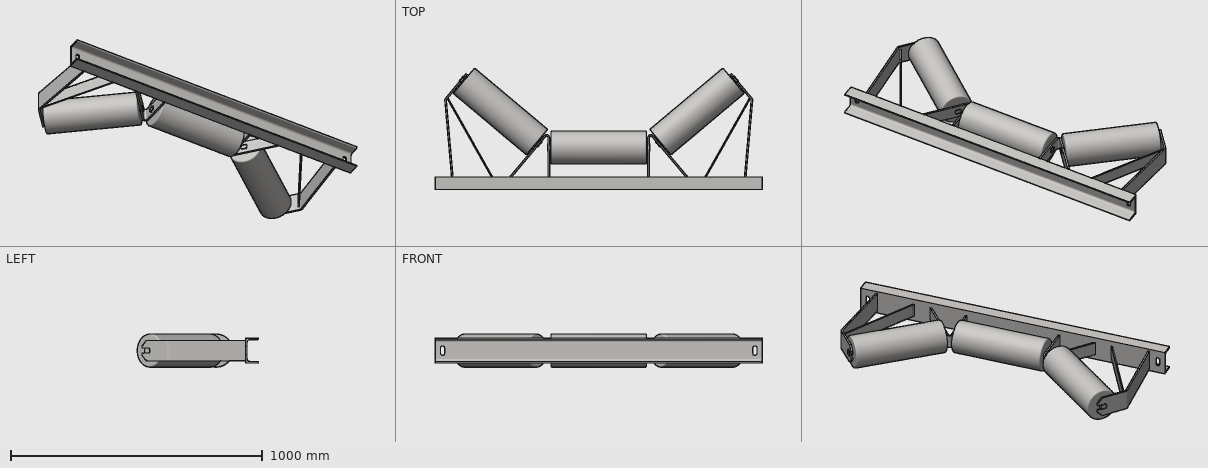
import cadquery as cq
import math

beam_length = 1300.0
beam_height = 100.0
beam_depth = 51.0
beam_web = 6.0
beam_flange = 8.0
beam_root_radius = 9.0
beam_toe_radius = 5.0
mount_slot_width = 15.0
mount_slot_height = 36.0
mount_slot_inset = 30.0

roller_length = 380.0
roller_radius = 66.0
roller_rim_radius = 5.0
shaft_radius = 13.0
shaft_flat_width = 20.0
shaft_overhang = 3.0
centre_roller_y = 168.0
wing_tilt = 40.0
wing_centre_x = 390.0
wing_centre_y = 311.0

plate_thickness = 7.2
outer_plate_width = 82.0
inner_plate_width = 55.0
roller_gap = 4.5
outer_bend_radius = 15.0
inner_bend_radius = 13.0
post_lean = 5.0
arm_below_shaft = 105.0
arm_above_shaft = 27.0
arm_tip_chamfer = 21.0

brace_thickness = 5.0
brace_width = inner_plate_width
brace_foot_x = 424.0
brace_below_shaft = 95.0

wing_axis = cq.Vector(-math.cos(math.radians(wing_tilt)), math.sin(math.radians(wing_tilt)))
arm_up = cq.Vector(math.sin(math.radians(wing_tilt)), math.cos(math.radians(wing_tilt)))
wing_centre = cq.Vector(-wing_centre_x, wing_centre_y)
near_face = roller_length / 2 + roller_gap
far_face = near_face + plate_thickness


def polar(angle, length):
    """Vector in the XY plane at an angle in degrees from +X."""
    return cq.Vector(length * math.cos(math.radians(angle)), length * math.sin(math.radians(angle)))


def plate(points, width):
    """Extrude an XY outline symmetrically about Z = 0."""
    outline = [(point.x, point.y) for point in points]
    return cq.Workplane("XY").polyline(outline).close().extrude(width / 2, both=True)


def round_bend(body, corner, radius):
    """Round the Z edge that runs through a corner of the outline."""
    nearest = cq.selectors.NearestToPointSelector((corner.x, corner.y, 0))
    return body.edges("|Z").edges(nearest).fillet(radius)


def rod(radius, length):
    """Cylinder along X, centred on the origin."""
    return cq.Workplane("YZ", origin=(-length / 2, 0, 0)).circle(radius).extrude(length)


def along_x(width_y, width_z, length):
    """Rectangular bar along X, centred on the origin."""
    return cq.Workplane("XY").box(length, width_y, width_z)


def shaft():
    """Shaft along X with two flats, reaching slightly past the brackets at both ends."""
    length = 2 * (far_face + shaft_overhang)
    flats = along_x(2 * shaft_radius, shaft_flat_width, length)
    flatted = rod(shaft_radius, length).intersect(flats)
    journal = rod(shaft_radius, 2 * near_face)
    return flatted.union(journal)


def roller():
    """Roller and shaft along X, centred on the origin."""
    shell = rod(roller_radius, roller_length)
    shell = shell.edges("%CIRCLE").fillet(roller_rim_radius)
    return shell.union(shaft())


def to_wing(body):
    """Tilt a body from the X axis onto the left wing roller axis."""
    return body.rotate((0, 0, 0), (0, 0, 1), -wing_tilt).translate(wing_centre)


def to_centre(body):
    return body.translate((0, centre_roller_y, 0))


def channel_beam():
    """Channel with rounded roots, rounded flange toes and an upright mounting slot near each end."""
    inner_height = beam_height - 2 * beam_flange
    body = cq.Workplane("XY").box(beam_length, beam_depth, beam_height).translate((0, beam_depth / 2, 0))
    inner_depth = beam_depth - beam_web
    hollow = cq.Workplane("XY").box(beam_length, inner_depth, inner_height)
    hollow = hollow.edges("|X and >Y").fillet(beam_root_radius)
    body = body.cut(hollow.translate((0, inner_depth / 2, 0)))
    for z in (-inner_height / 2, inner_height / 2):
        toe = cq.selectors.NearestToPointSelector((0, 0, z))
        body = body.edges("|X").edges(toe).fillet(beam_toe_radius)
    mount_slots = (
        cq.Workplane("XZ")
        .pushPoints([(side * (beam_length / 2 - mount_slot_inset), 0) for side in (-1, 1)])
        .slot2D(mount_slot_height, mount_slot_width, 90)
        .extrude(-beam_depth)
    )
    return body.cut(mount_slots)


def outer_bracket():
    """Leaning post with an arm square to the wing roller; its slot is open at the arm's tip."""
    shaft_end = wing_centre + wing_axis * far_face
    tip = shaft_end + arm_up * arm_above_shaft
    bend = shaft_end - arm_up * arm_below_shaft
    post_drop = bend.y - beam_depth
    foot = cq.Vector(bend.x + post_drop * math.tan(math.radians(post_lean)), beam_depth)
    half_turn = (wing_tilt + post_lean) / 2
    inner_tip = tip - wing_axis * plate_thickness
    mitre = plate_thickness / math.cos(math.radians(half_turn))
    inner_bend = bend + polar(post_lean - half_turn, mitre)
    inner_foot = foot + cq.Vector(plate_thickness / math.cos(math.radians(post_lean)), 0)

    body = plate([foot, bend, tip, inner_tip, inner_bend, inner_foot], outer_plate_width)
    body = round_bend(body, bend, outer_bend_radius)
    body = round_bend(body, inner_bend, outer_bend_radius - plate_thickness)
    body = body.edges(cq.selectors.ParallelDirSelector(wing_axis)).chamfer(arm_tip_chamfer)

    slot = along_x(arm_above_shaft, shaft_flat_width, 2 * far_face).translate((0, arm_above_shaft / 2, 0))
    return body.cut(to_wing(slot)).cut(to_wing(shaft()))


def inner_bracket():
    """Upright post for the centre roller, folded over into an arm for the wing roller."""
    post_x = -near_face
    arm_point = wing_centre - wing_axis * near_face
    apex = arm_point + arm_up * ((post_x - arm_point.x) / arm_up.x)
    arm_drop = arm_up * ((apex.y - beam_depth) / arm_up.y)
    arm_foot = apex - arm_drop
    inner_arm_foot = arm_foot + cq.Vector(plate_thickness / arm_up.y, 0)
    inner_apex = apex + polar(270 - wing_tilt / 2, plate_thickness / math.sin(math.radians(wing_tilt / 2)))
    post_foot = cq.Vector(post_x, beam_depth)
    inner_post_foot = post_foot - cq.Vector(plate_thickness, 0)

    body = plate([arm_foot, apex, post_foot, inner_post_foot, inner_apex, inner_arm_foot], inner_plate_width)
    body = round_bend(body, apex, inner_bend_radius)
    body = round_bend(body, inner_apex, inner_bend_radius - plate_thickness)
    return body.cut(to_wing(shaft())).cut(to_centre(shaft()))


def brace():
    """Strip from the beam up to the near face of the outer bracket's arm, just above the bend."""
    foot = cq.Vector(-brace_foot_x, beam_depth)
    contact = wing_centre + wing_axis * near_face - arm_up * brace_below_shaft
    run = (contact - foot).normalized()
    half_top = arm_up * (brace_thickness / 2 / run.dot(wing_axis))
    half_foot = cq.Vector(brace_thickness / 2 / run.y, 0)
    return plate([foot - half_foot, contact - half_top, contact + half_top, foot + half_foot], brace_width)


def both_sides(body):
    """The left body and its mirror image on the right."""
    return [body.val(), body.mirror("YZ").val()]


beam = channel_beam()
centre_roller = to_centre(roller())
wing_roller = to_wing(roller())
outer = outer_bracket()
inner = inner_bracket()
outer_brace = brace()

bodies = [beam.val(), centre_roller.val()]
for body in (wing_roller, outer, inner, outer_brace):
    bodies.extend(both_sides(body))

result = cq.Compound.makeCompound(bodies)